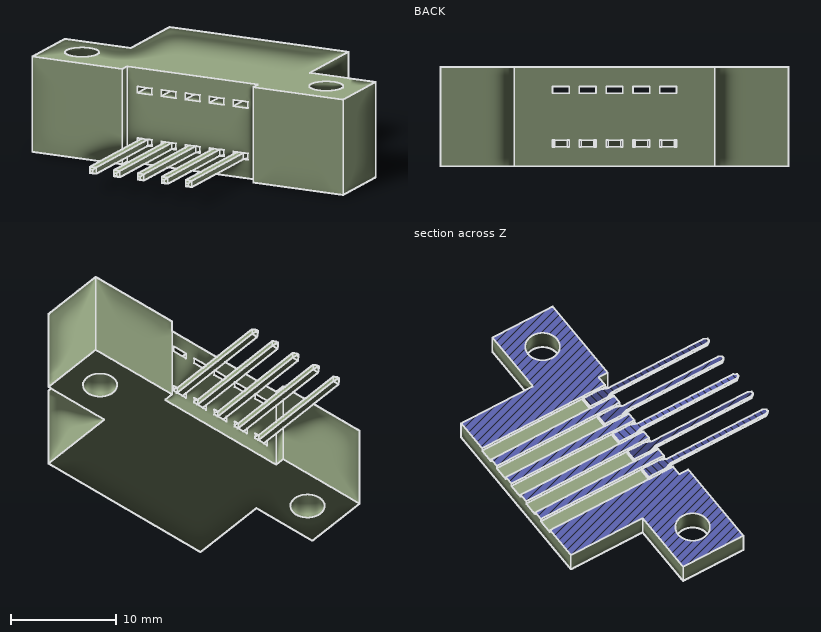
import cadquery as cq

length = 33.02
height = 9.4
flange_depth = 6.87
block_width = 19.02
block_depth = 15.0
recess_width = 13.9
recess_depth = 1.02
mount_hole_diameter = 3.25
mount_hole_spacing = 25.95
mount_hole_y = 3.47

contact_count = 5
pitch = 2.55
row_offset = pitch
slot_width = 1.55
slot_height = 0.63

overall_depth = 25.15
pin_width = 0.65
pin_height = slot_height
shoulder_width = 1.22
shoulder_taper = 0.73
shoulder_end = 2.65
tip_length = 0.33
tip_width = 0.25
tip_height = 0.25
pin_tip_y = block_depth - overall_depth

contact_xs = [(i - (contact_count - 1) / 2) * pitch for i in range(contact_count)]


def centred_box(width, depth, tall):
    """A box centred on X and Z that starts at Y = 0 and runs toward +Y."""
    return cq.Workplane("XY").box(width, depth, tall, centered=(True, False, True))


def make_housing():
    """A T-shaped block with mounting holes, a recess on the pin side and two rows of slots."""
    body = centred_box(length, flange_depth, height)
    body = body.union(centred_box(block_width, block_depth, height))
    body = body.cut(centred_box(recess_width, recess_depth, height))

    mount_holes = (
        cq.Workplane("XY", origin=(0, mount_hole_y, 0))
        .pushPoints([(-mount_hole_spacing / 2, 0), (mount_hole_spacing / 2, 0)])
        .circle(mount_hole_diameter / 2)
        .extrude(height / 2, both=True)
    )
    body = body.cut(mount_holes)

    slot = centred_box(slot_width, block_depth, slot_height)
    for x in contact_xs:
        for z in (-row_offset, row_offset):
            body = body.cut(slot.translate((x, 0, z)))
    return body


def make_pin(x):
    """A rectangular pin with a tapered tip outside and a wider, tapered shoulder inside its slot."""
    shank_start_y = pin_tip_y + tip_length
    taper_end_y = recess_depth + shoulder_taper
    inner_end_y = recess_depth + shoulder_end

    right_side = [
        (pin_width / 2, shank_start_y),
        (pin_width / 2, recess_depth),
        (shoulder_width / 2, taper_end_y),
        (shoulder_width / 2, inner_end_y),
    ]
    left_side = [(-px, py) for px, py in reversed(right_side)]
    shank = (
        cq.Workplane("XY")
        .polyline(right_side + left_side)
        .close()
        .extrude(pin_height / 2, both=True)
    )
    tip = (
        cq.Workplane("XZ", origin=(0, shank_start_y, 0))
        .rect(pin_width, pin_height)
        .workplane(offset=tip_length)
        .rect(tip_width, tip_height)
        .loft(ruled=True)
    )
    return shank.union(tip).translate((x, 0, -row_offset))


housing = make_housing()
pins = [make_pin(x) for x in contact_xs]

result = cq.Compound.makeCompound([housing.val(), *[pin.val() for pin in pins]])